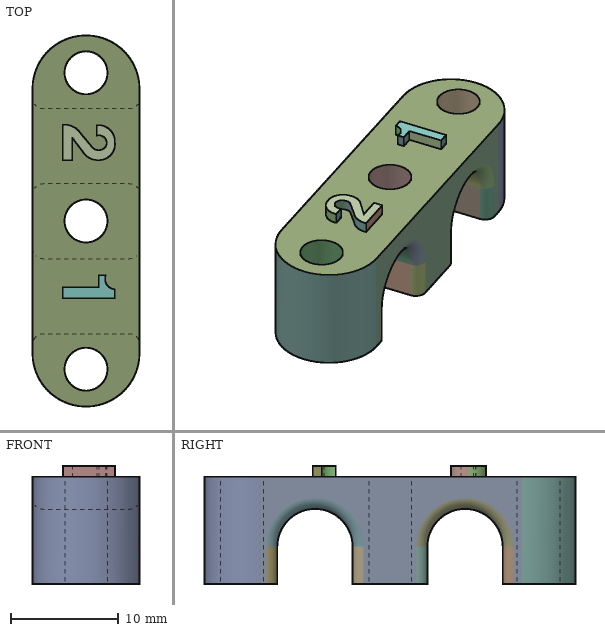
import cadquery as cq

length = 34.65
width = 10.0
body_height = 10.0
hole_diameter = 4.0
hole_spacing = 13.82
arch_offset = 7.0
arch_radius = 3.5
arch_centre_height = 3.5
arch_rounding = 1.0
digit_height = 1.0

digit_base = -2.15
digit_top = 2.7


def make_body():
    """Round-ended bar standing on the XY plane."""
    return cq.Workplane("XY").slot2D(length, width, 90).extrude(body_height)


def make_arch(centre_y):
    """Round-topped passage through the bar along X."""
    left = centre_y - arch_radius
    right = centre_y + arch_radius
    crown = arch_centre_height + arch_radius
    return (
        cq.Workplane("YZ", origin=(-width / 2, 0, 0))
        .moveTo(left, 0)
        .lineTo(left, arch_centre_height)
        .threePointArc((centre_y, crown), (right, arch_centre_height))
        .lineTo(right, 0)
        .close()
        .extrude(width)
    )


def round_arch_mouth(body, centre_y, side_x):
    """Fillet the edge where one arch opens onto a flat long side."""
    margin = 0.35
    reach = arch_radius + margin
    mouth = cq.selectors.BoxSelector(
        (side_x - margin, centre_y - reach, margin),
        (side_x + margin, centre_y + reach, arch_centre_height + reach),
    )
    return body.edges(mouth).fillet(arch_rounding)


def make_digit_one():
    """Raised figure 1 with a curved flag."""
    stem_low = -7.2
    stem_high = -6.2
    nose_y = -6.37
    flag_tip = -5.05
    flag_inner = 1.18
    flag_outer = 1.85
    return (
        cq.Workplane("XY", origin=(0, 0, body_height))
        .moveTo(digit_base, stem_low)
        .lineTo(digit_top, stem_low)
        .lineTo(digit_top, nose_y)
        .threePointArc((2.1, -6.13), (flag_outer, flag_tip))
        .lineTo(flag_inner, flag_tip)
        .lineTo(flag_inner, stem_high)
        .lineTo(digit_base, stem_high)
        .close()
        .extrude(digit_height)
    )


def make_digit_two():
    """Raised figure 2: flat foot, slanting neck and open bowl."""
    foot_end = 5.68
    foot_top = -1.28
    bowl_tip_x = 1.0
    return (
        cq.Workplane("XY", origin=(0, 0, body_height))
        .moveTo(digit_base, foot_end)
        .lineTo(foot_top, foot_end)
        .lineTo(foot_top, 7.75)
        .lineTo(-0.2, 6.35)
        .threePointArc((0.4, 5.82), (1.15, foot_end))
        .threePointArc((2.25, 6.1), (digit_top, 7.3))
        .threePointArc((2.25, 8.5), (bowl_tip_x, 8.95))
        .lineTo(bowl_tip_x, 7.95)
        .threePointArc((1.7, 7.8), (1.95, 7.35))
        .threePointArc((1.7, 6.8), (1.18, 6.6))
        .threePointArc((0.9, 6.65), (0.62, 6.82))
        .lineTo(-0.45, 8.1)
        .threePointArc((-1.2, 8.8), (digit_base, 8.97))
        .close()
        .extrude(digit_height)
    )


body = make_body()
for arch_y in (-arch_offset, arch_offset):
    body = body.cut(make_arch(arch_y))
    for side_x in (-width / 2, width / 2):
        body = round_arch_mouth(body, arch_y, side_x)

hole_points = [(0, -hole_spacing), (0, 0), (0, hole_spacing)]
holes = cq.Workplane("XY").pushPoints(hole_points).circle(hole_diameter / 2).extrude(body_height)

result = body.cut(holes).union(make_digit_one()).union(make_digit_two())